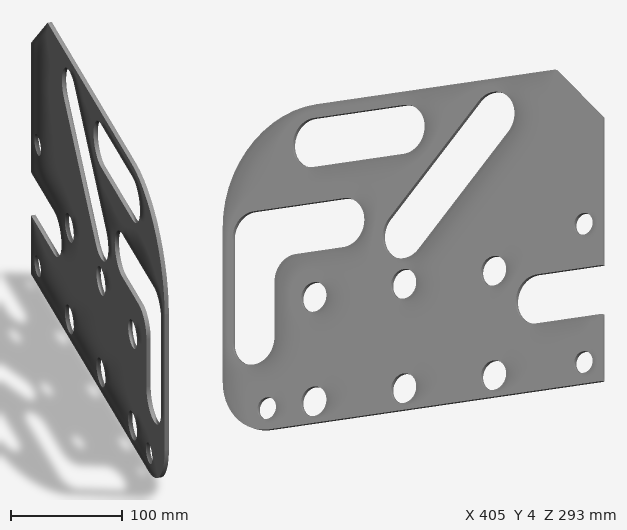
import cadquery as cq

length = 405.0
height = 293.0
thickness = 4.0
corner_cut = 50.0
upper_radius = 100.0
lower_radius = 50.0

large_hole_diameter = 27.0
small_hole_diameter = 20.0
edge_offset = 20.0
upper_small_hole_z = 147.0
right_small_hole_x = 358.0
pitch = 96.0
first_column_x = 116.0
columns = [first_column_x + i * pitch for i in range(3)]
rows = [edge_offset, edge_offset + pitch]

slot_width = 45.0
slot_radius = slot_width / 2
upper_slot_z = 258.0
open_slot_center_x = 69.5
open_slot_z = 84.2
angle_slot_corner_x = 372.0
angle_slot_corner_z = open_slot_z + pitch
inner_corner_radius = 22.5


def extrude_profile(profile):
    """Give an XZ profile the plate thickness, starting at Y = 0 toward +Y."""
    return profile.extrude(-thickness)


def slot(center_x, center_z, center_distance, angle=0):
    """Round-ended slot cutter, given the distance between its end centers."""
    profile = cq.Workplane("XZ").center(center_x, center_z)
    return extrude_profile(profile.slot2D(center_distance + slot_width, slot_width, angle))


def holes(points, diameter):
    return extrude_profile(cq.Workplane("XZ").pushPoints(points).circle(diameter / 2))


def plate():
    """Rectangle with one cut corner and two rounded corners."""
    outline = (
        cq.Workplane("XZ")
        .lineTo(length - lower_radius, 0)
        .radiusArc((length, lower_radius), -lower_radius)
        .lineTo(length, height - upper_radius)
        .radiusArc((length - upper_radius, height), -upper_radius)
        .lineTo(corner_cut, height)
        .lineTo(0, height - corner_cut)
        .close()
    )
    return extrude_profile(outline)


def angle_slot():
    """L-shaped slot with round ends and a rounded corner inside and outside."""
    end_x = angle_slot_corner_x - pitch
    end_z = angle_slot_corner_z - pitch
    left = angle_slot_corner_x - slot_radius
    right = angle_slot_corner_x + slot_radius
    bottom = angle_slot_corner_z - slot_radius
    top = angle_slot_corner_z + slot_radius
    outline = (
        cq.Workplane("XZ")
        .moveTo(end_x, top)
        .lineTo(angle_slot_corner_x, top)
        .radiusArc((right, angle_slot_corner_z), slot_radius)
        .lineTo(right, end_z)
        .threePointArc((angle_slot_corner_x, end_z - slot_radius), (left, end_z))
        .lineTo(left, bottom - inner_corner_radius)
        .radiusArc((left - inner_corner_radius, bottom), -inner_corner_radius)
        .lineTo(end_x, bottom)
        .threePointArc((end_x - slot_radius, angle_slot_corner_z), (end_x, top))
        .close()
    )
    return extrude_profile(outline)


open_slot = slot(0, open_slot_z, 2 * open_slot_center_x)
upper_slot = slot((columns[1] + columns[2]) / 2, upper_slot_z, pitch)

diagonal_slot = slot(
    (columns[0] + columns[1]) / 2, upper_slot_z - pitch / 2, pitch * 2**0.5, angle=-45
)

large_holes = holes([(x, z) for x in columns for z in rows], large_hole_diameter)
small_hole_points = [
    (edge_offset, edge_offset),
    (edge_offset, upper_small_hole_z),
    (right_small_hole_x, edge_offset),
]
small_holes = holes(small_hole_points, small_hole_diameter)

result = plate()
for cutter in (open_slot, upper_slot, diagonal_slot, angle_slot(), large_holes, small_holes):
    result = result.cut(cutter)